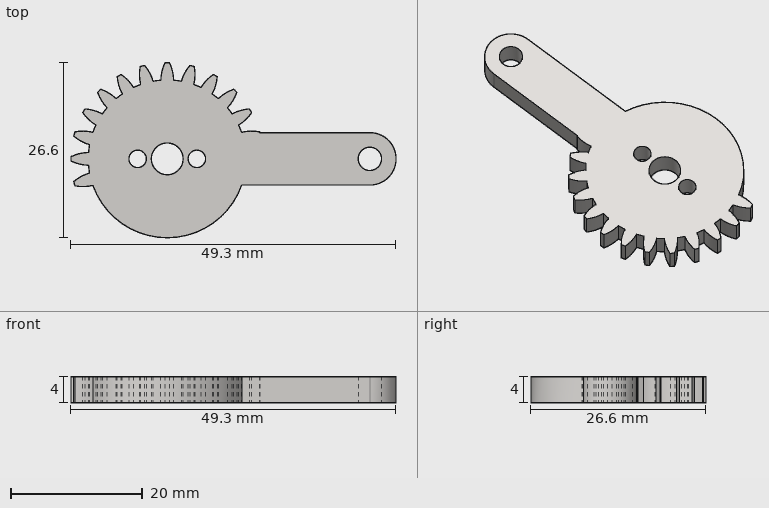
import cadquery as cq
import math

thickness = 4.0
root_radius = 12.0
tip_radius = 14.6

teeth_per_turn = 24
tooth_pitch = 360 / teeth_per_turn
first_tooth_angle = 15
tooth_count = 13
tooth_root_half_width = 1.0
tooth_middle_half_width = 0.815
tooth_tip_half_width = 0.35

arm_half_width = 4.0
arm_length = 30.75
arm_hole_diameter = 3.5

bore_diameter = 4.8
side_hole_diameter = 2.6
side_hole_offset = 4.5


def make_tooth(angle):
    """Tooth with convex flanks and a rounded tip, turned to the given angle about Z."""
    base_radius = root_radius / 2
    flank_radius = math.sqrt(root_radius**2 - tooth_root_half_width**2)
    middle_radius = (root_radius + tip_radius) / 2
    corner_radius = math.sqrt(tip_radius**2 - tooth_tip_half_width**2)
    return (
        cq.Workplane("XY")
        .moveTo(base_radius, -tooth_root_half_width)
        .lineTo(flank_radius, -tooth_root_half_width)
        .threePointArc(
            (middle_radius, -tooth_middle_half_width),
            (corner_radius, -tooth_tip_half_width),
        )
        .threePointArc((tip_radius, 0), (corner_radius, tooth_tip_half_width))
        .threePointArc(
            (middle_radius, tooth_middle_half_width),
            (flank_radius, tooth_root_half_width),
        )
        .lineTo(base_radius, tooth_root_half_width)
        .close()
        .extrude(thickness)
        .rotate((0, 0, 0), (0, 0, 1), angle)
    )


def make_arm():
    """Straight arm from the gear axis to its rounded end."""
    return (
        cq.Workplane("XY")
        .moveTo(0, -arm_half_width)
        .lineTo(arm_length, -arm_half_width)
        .threePointArc((arm_length + arm_half_width, 0), (arm_length, arm_half_width))
        .lineTo(0, arm_half_width)
        .close()
        .extrude(thickness)
    )


def make_hole(x, diameter):
    """Cutter for a through hole on the X axis."""
    return cq.Workplane("XY").center(x, 0).circle(diameter / 2).extrude(thickness)


body = cq.Workplane("XY").circle(root_radius).extrude(thickness)
body = body.union(make_arm())
for index in range(tooth_count):
    body = body.union(make_tooth(first_tooth_angle + index * tooth_pitch))

body = body.cut(make_hole(0, bore_diameter))
for side in (-1, 1):
    body = body.cut(make_hole(side * side_hole_offset, side_hole_diameter))
result = body.cut(make_hole(arm_length, arm_hole_diameter))